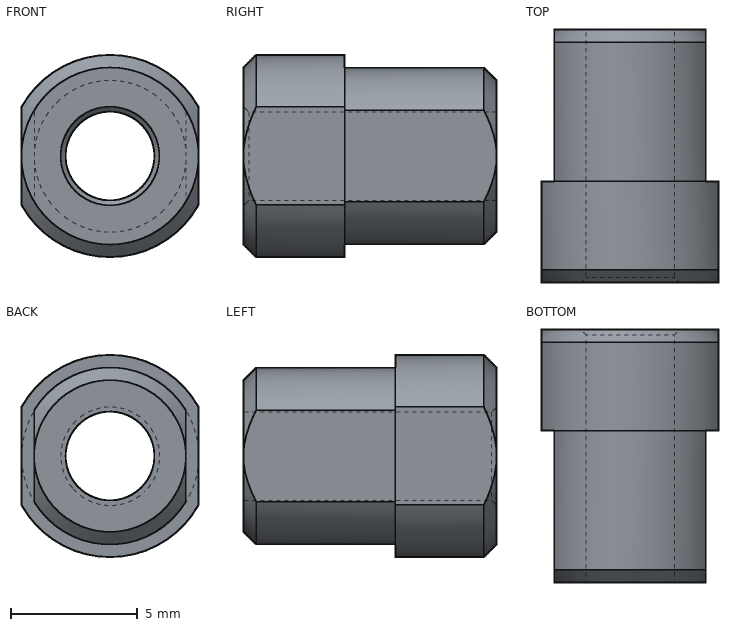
import cadquery as cq

total_length = 10.0
head_length = 4.0

head_diameter = 8.0
head_flat_width = 7.0
shank_diameter = 7.0
shank_flat_width = 6.0
end_chamfer = 0.5

bore_diameter = 3.5
bore_mouth_diameter = 3.9
bore_chamfer = (bore_mouth_diameter - bore_diameter) / 2


def flatted_cylinder(diameter, flat_width, y_start, length, chamfered_face):
    """Cylinder along +Y with one chamfered end and two flats facing -X and +X."""
    cylinder = (
        cq.Workplane("XZ", origin=(0, y_start, 0))
        .circle(diameter / 2)
        .extrude(-length)
        .faces(chamfered_face)
        .chamfer(end_chamfer)
    )
    flats = cq.Workplane("XY").box(
        flat_width, length, diameter, centered=(True, False, True)
    ).translate((0, y_start, 0))
    return cylinder.intersect(flats)


head = flatted_cylinder(head_diameter, head_flat_width, 0, head_length, "<Y")
shank = flatted_cylinder(
    shank_diameter, shank_flat_width, head_length, total_length - head_length, ">Y"
)
body = head.union(shank)

bored = body.cut(cq.Workplane("XZ").circle(bore_diameter / 2).extrude(-total_length))
result = bored.faces("<Y").edges(cq.selectors.RadiusNthSelector(0)).chamfer(bore_chamfer)